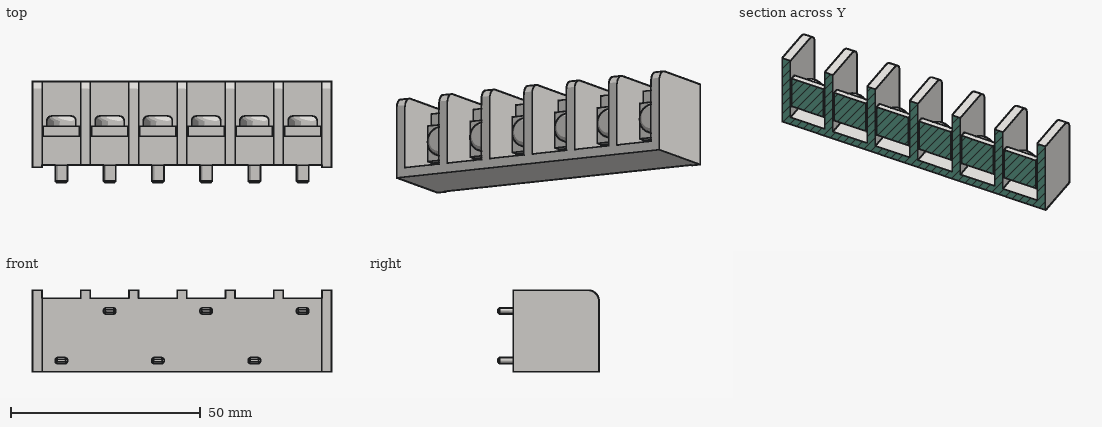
import cadquery as cq

length = 78.75
height = 21.6
pole_count = 6
wall = 2.5
pitch = (length - wall) / pole_count
end_wall_depth = 22.7
corner_radius = 3.0
front_setback = 0.6

block_height = 19.45
block_back = 8.3
floor_thickness = wall

plate_side = 9.5
plate_thickness = 2.5
screw_diameter = 7.6
screw_head_height = 2.75
screw_edge_radius = 1.25
terminal_z = (floor_thickness + block_height) / 2

total_depth = 26.7
pin_length = total_depth - end_wall_depth
pin_width = 3.3
pin_thickness = 1.65
pin_chamfer = 0.5
pin_low_z = 3.0
pin_high_z = 16.1


def divider(x_start, setback):
    """Upright wall with a rounded upper back corner."""
    return (
        cq.Workplane("XY", origin=(x_start, setback, 0))
        .box(wall, end_wall_depth - setback, height, centered=False)
        .edges("|X and >Y and >Z")
        .fillet(corner_radius)
    )


def stepped_core():
    """L-shaped core running between the two end walls."""
    outline = [
        (front_setback, 0),
        (end_wall_depth, 0),
        (end_wall_depth, floor_thickness),
        (block_back, floor_thickness),
        (block_back, block_height),
        (front_setback, block_height),
    ]
    return (
        cq.Workplane("YZ", origin=(wall, 0, 0))
        .polyline(outline)
        .close()
        .extrude(length - 2 * wall)
    )


def terminal(x_center):
    """Square clamp plate with a round-edged screw head, facing +Y."""
    plate = (
        cq.Workplane("XZ", origin=(x_center, block_back, terminal_z))
        .rect(plate_side, plate_side)
        .extrude(-plate_thickness)
    )
    head = (
        cq.Workplane("XZ", origin=(x_center, block_back + plate_thickness, terminal_z))
        .circle(screw_diameter / 2)
        .extrude(-screw_head_height)
        .faces(">Y")
        .edges()
        .fillet(screw_edge_radius)
    )
    return plate.union(head)


def pin(x_center, z_center):
    """Flat pin with rounded sides and a chamfered tip, rooted inside the terminal block."""
    return (
        cq.Workplane("XZ", origin=(x_center, block_back / 2, z_center))
        .slot2D(pin_width, pin_thickness)
        .extrude(block_back / 2 + pin_length)
        .faces("<Y")
        .chamfer(pin_chamfer)
    )


result = stepped_core()

for index in range(pole_count + 1):
    is_end_wall = index in (0, pole_count)
    result = result.union(divider(index * pitch, 0 if is_end_wall else front_setback))

for index in range(pole_count):
    bay_center = (wall + pitch) / 2 + index * pitch
    pin_z = pin_low_z if index % 2 == 0 else pin_high_z
    result = result.union(terminal(bay_center)).union(pin(bay_center, pin_z))